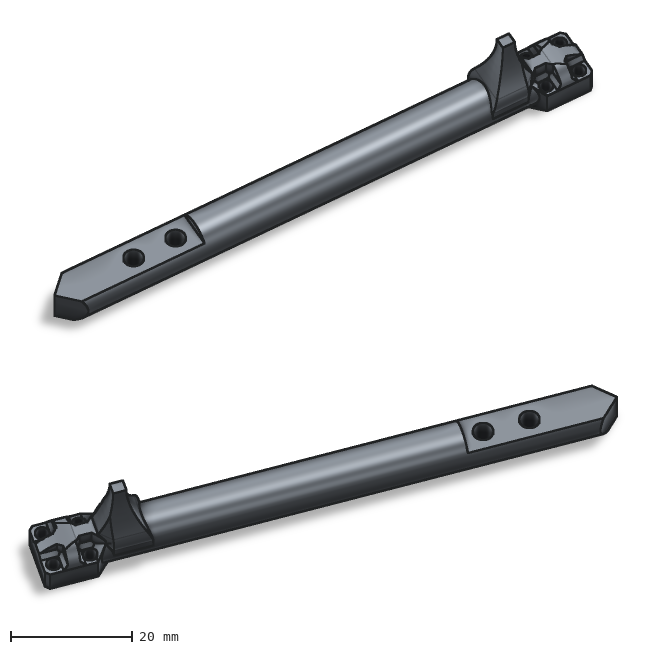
import cadquery as cq
import math

length = 100.0
rod_diameter = 8.2
rod_radius = rod_diameter / 2
rod_axis_z = 3.4
tip_flat_length = 26.7
tip_flat_z = 5.8
tip_hole_diameter = 3.4
tip_hole_ys = (15.1, 23.1)

head_half_width = 5.0
head_side_start_y = 91.0
head_corner_chamfer = 0.7
head_back_z = 5.1
head_arc_mid = (96.2, 7.0)
head_arc_start_y = 91.0
head_round_radius = 5.3
head_round_axis_z = 2.5

screw_pitch = 6.3
screw_hole_diameter = 2.4
screw_centre_y = 95.0
seat_floor_z = 4.3
seat_bevel = 0.85
spine_half_width = 1.1
rib_half_length = 1.1
seat_front_y = 91.0

thorn_top_z = 17.5
thorn_top_reach = 1.0
thorn_flare_z = 7.8
thorn_flare_reach = 3.7
thorn_skirt_z = 5.1
thorn_skirt_reach = 4.1
thorn_front_skirt_reach = 4.7
thorn_bottom_z = 3.6
thorn_front_datum_y = 85.9
thorn_back_datum_y = 86.2
thorn_diagonal_datum_y = 88.0

clear = 30.0
rod_top_z = rod_axis_z + rod_radius
diagonal_wall_sum = thorn_diagonal_datum_y + thorn_skirt_reach


def box_between(low, high):
    size = [b - a for a, b in zip(low, high)]
    return cq.Workplane("XY").box(*size, centered=False).translate(low)


def cylinder_along_y(radius, axis_z):
    return cq.Workplane("XZ").center(0, axis_z).circle(radius).extrude(-length)


def make_rod():
    rod = cylinder_along_y(rod_radius, rod_axis_z)
    rod = rod.cut(box_between((-clear, 0, -clear), (clear, length, 0)))
    rod = rod.cut(box_between((-clear, 0, tip_flat_z), (clear, tip_flat_length, clear)))
    pointed_plan = (
        cq.Workplane("XY")
        .polyline([(0, 0), (rod_radius, rod_radius), (rod_radius, length),
                   (-rod_radius, length), (-rod_radius, rod_radius)])
        .close()
        .extrude(clear)
    )
    holes = (
        cq.Workplane("XY")
        .pushPoints([(0, y) for y in tip_hole_ys])
        .circle(tip_hole_diameter / 2)
        .extrude(clear)
    )
    return rod.intersect(pointed_plan).cut(holes)


def make_head():
    """Block with a 45 degree neck into the rod and a rounded upper side."""
    neck_y = head_side_start_y - head_half_width
    back_half_width = head_half_width - head_corner_chamfer
    right_side = [
        (head_half_width, head_side_start_y),
        (head_half_width, length - head_corner_chamfer),
        (back_half_width, length),
    ]
    left_side = [(-x, y) for x, y in reversed(right_side)]
    block = (
        cq.Workplane("XY")
        .polyline([(0, neck_y)] + right_side + left_side)
        .close()
        .extrude(rod_top_z)
    )
    round_top = cylinder_along_y(head_round_radius, head_round_axis_z)
    lower_block = box_between((-clear, 0, 0), (clear, length, head_round_axis_z))
    return block.intersect(round_top.union(lower_block))


def make_length_profile():
    """Side outline of rod and head: level, then arching down to the back face."""
    return (
        cq.Workplane("YZ")
        .moveTo(0, 0)
        .lineTo(length, 0)
        .lineTo(length, head_back_z)
        .threePointArc(head_arc_mid, (head_arc_start_y, rod_top_z))
        .lineTo(0, rod_top_z)
        .close()
        .extrude(head_half_width, both=True)
    )


def flared_prism(skirt_reach, direction, datum_y):
    """Prism filling the inner side of a flared wall that faces the given horizontal direction."""
    drop = thorn_top_z - thorn_flare_z
    spread = thorn_flare_reach - thorn_top_reach
    flare_radius = (drop**2 + spread**2) / (2 * spread)
    mid_drop = drop / 2
    mid_spread = flare_radius - math.sqrt(flare_radius**2 - mid_drop**2)
    plane = cq.Plane(
        origin=(0, datum_y, 0),
        xDir=direction,
        normal=(direction[1], -direction[0], 0),
    )
    foreshortening = 1 / math.hypot(*direction)
    return (
        cq.Workplane(plane)
        .moveTo(-clear, thorn_top_z)
        .lineTo(thorn_top_reach * foreshortening, thorn_top_z)
        .threePointArc(
            ((thorn_top_reach + mid_spread) * foreshortening, thorn_top_z - mid_drop),
            (thorn_flare_reach * foreshortening, thorn_flare_z),
        )
        .tangentArcPoint((skirt_reach * foreshortening, thorn_skirt_z), relative=False)
        .lineTo(skirt_reach * foreshortening, thorn_bottom_z)
        .lineTo(-clear, thorn_bottom_z)
        .close()
        .extrude(clear, both=True)
    )


def make_thorn():
    thorn = flared_prism(thorn_front_skirt_reach, (0, -1), thorn_front_datum_y)
    thorn = thorn.intersect(flared_prism(thorn_skirt_reach, (0, 1), thorn_back_datum_y))
    for side in (-1, 1):
        thorn = thorn.intersect(flared_prism(thorn_skirt_reach, (side, 0), thorn_back_datum_y))
        thorn = thorn.intersect(flared_prism(thorn_skirt_reach, (side, 1), thorn_diagonal_datum_y))
    return thorn


def make_seat(plan_points, length_points):
    """Open seat at +X: its plan, its side outline and a bevelled foot along the spine."""
    bevel_top_z = seat_floor_z + seat_bevel
    plan = cq.Workplane("XY").polyline(plan_points).close().extrude(clear)
    side_outline = cq.Workplane("YZ").polyline(length_points).close().extrude(clear)
    spine_outline = (
        cq.Workplane("XZ")
        .polyline([
            (spine_half_width + seat_bevel, seat_floor_z),
            (spine_half_width, bevel_top_z),
            (spine_half_width, clear),
            (clear, clear),
            (clear, seat_floor_z),
        ])
        .close()
        .extrude(-2 * length)
    )
    return plan.intersect(side_outline).intersect(spine_outline)


def make_back_seat():
    wall_y = screw_centre_y + rib_half_length
    foot_y = wall_y + seat_bevel
    end_y = length + clear
    plan_points = [
        (spine_half_width, end_y),
        (spine_half_width, foot_y),
        (spine_half_width + seat_bevel, wall_y),
        (clear, wall_y),
        (clear, end_y),
    ]
    length_points = [
        (end_y, seat_floor_z),
        (foot_y, seat_floor_z),
        (wall_y, seat_floor_z + seat_bevel),
        (wall_y, clear),
        (end_y, clear),
    ]
    return make_seat(plan_points, length_points)


def make_front_seat():
    """Seat closed by a 45 degree ramp that runs out through the rod."""
    wall_y = screw_centre_y - rib_half_length
    foot_y = wall_y - seat_bevel
    plan_points = [
        (spine_half_width, foot_y),
        (spine_half_width + seat_bevel, wall_y),
        (clear, wall_y),
        (clear, diagonal_wall_sum - clear),
        (spine_half_width, diagonal_wall_sum - spine_half_width),
    ]
    length_points = [
        (seat_front_y, seat_floor_z),
        (foot_y, seat_floor_z),
        (wall_y, seat_floor_z + seat_bevel),
        (wall_y, clear),
        (seat_front_y - (clear - seat_floor_z), clear),
    ]
    return make_seat(plan_points, length_points)


def make_screw_holes():
    return (
        cq.Workplane("XY")
        .center(0, screw_centre_y)
        .rect(screw_pitch, screw_pitch, forConstruction=True)
        .vertices()
        .circle(screw_hole_diameter / 2)
        .extrude(clear)
    )


body = make_rod().union(make_head()).intersect(make_length_profile())
body = body.union(make_thorn())
for seat in (make_back_seat(), make_front_seat()):
    body = body.cut(seat).cut(seat.mirror("YZ"))
result = body.cut(make_screw_holes())